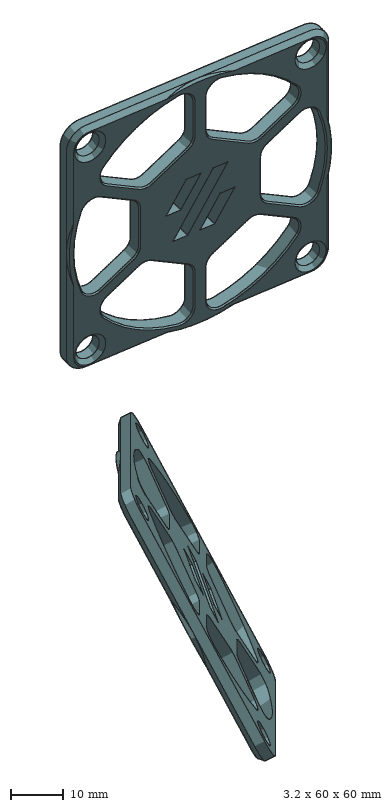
import cadquery as cq
import math

side = 60.0
thickness = 3.2
corner_radius = 4.5
edge_chamfer = 1.0

hole_spacing = 50.4
hole_diameter = 5.3
hole_chamfer = 0.9
hole_chamfer_angle = 90

window_count = 6
window_outer_radius = 28.75
hub_apothem = 14.0
spoke_width = 3.0
window_fillet = 3.0
window_chamfer = 0.3

slot_width = 3.35
slot_row_height = 7.0
slot_row_lean = 4.6
slot_pitch = 6.2


def make_plate():
    """Rounded square, chamfered round its back edge, with a full-depth disc touching its sides."""
    square = (
        cq.Workplane("YZ")
        .rect(side, side)
        .extrude(thickness)
        .edges("|X")
        .fillet(corner_radius)
        .faces(">X")
        .chamfer(edge_chamfer)
    )
    disc = cq.Workplane("YZ").circle(side / 2).extrude(thickness)
    return square.union(disc)


def cut_screw_holes(plate):
    """Four through holes, each flared at 45 degrees where it meets the back face."""
    return (
        plate.faces(">X")
        .workplane(origin=(0, 0, 0))
        .rect(hole_spacing, hole_spacing, forConstruction=True)
        .vertices()
        .cskHole(hole_diameter, hole_diameter + 2 * hole_chamfer, hole_chamfer_angle)
    )


def make_window_cutter():
    """Cutter for one window, centred on the +Y axis, with all four corners rounded."""
    half_angle = math.pi / window_count
    spoke_offset = spoke_width / 2
    inner_z = hub_apothem * math.tan(half_angle) - spoke_offset / math.cos(half_angle)
    outer_angle = half_angle - math.asin(spoke_offset / window_outer_radius)
    outer_y = window_outer_radius * math.cos(outer_angle)
    outer_z = window_outer_radius * math.sin(outer_angle)
    return (
        cq.Workplane("YZ")
        .moveTo(hub_apothem, -inner_z)
        .lineTo(outer_y, -outer_z)
        .threePointArc((window_outer_radius, 0), (outer_y, outer_z))
        .lineTo(hub_apothem, inner_z)
        .close()
        .extrude(thickness)
        .edges("|X")
        .fillet(window_fillet)
    )


def cut_windows(plate):
    """Ring of windows, each with its back rim chamfered; the plate must have no other openings yet."""
    cutter = make_window_cutter()
    for index in range(window_count):
        angle = index * 360 / window_count
        plate = plate.cut(cutter.rotate((0, 0, 0), (1, 0, 0), angle))
    back_rims = plate.faces(">X").val().innerWires()
    rim_edges = [edge for rim in back_rims for edge in rim.Edges()]
    return plate.newObject(rim_edges).chamfer(window_chamfer)


def make_slot(middle_y, bottom_z, height):
    """Parallelogram slot that leans toward +Y as it rises; middle_y is where its centre line meets Z = 0."""
    lean_per_height = slot_row_lean / slot_row_height
    top_z = bottom_z + height
    bottom_y = middle_y + bottom_z * lean_per_height
    top_y = middle_y + top_z * lean_per_height
    half_width = slot_width / 2
    corners = [
        (bottom_y - half_width, bottom_z),
        (bottom_y + half_width, bottom_z),
        (top_y + half_width, top_z),
        (top_y - half_width, top_z),
    ]
    return cq.Workplane("YZ").polyline(corners).close().extrude(thickness)


result = make_plate()
result = cut_windows(result)
result = cut_screw_holes(result)

result = result.cut(make_slot(0, -slot_row_height, 2 * slot_row_height))
result = result.cut(make_slot(-slot_pitch, 0, slot_row_height))
result = result.cut(make_slot(slot_pitch, -slot_row_height, slot_row_height))